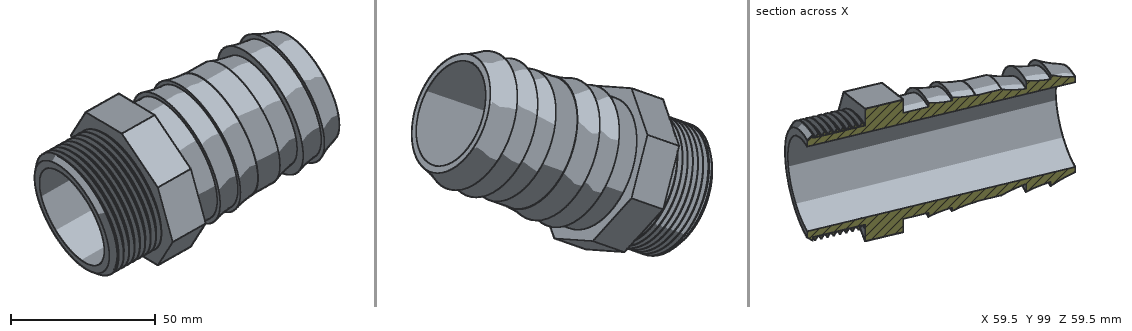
import cadquery as cq
import math

total_length = 99.0
bore_diameter = 37.8
body_diameter = 47.8

collar_sides = 8
collar_across_corners = 59.5
collar_start = 21.4
collar_end = 35.5

thread_core_diameter = 44.7
thread_span_turns = 7
thread_span = 16.1
thread_pitch = thread_span / thread_span_turns
thread_crest_start = 2.4
crest_flat = 0.2
root_flat = 0.2
nose_diameter = 43.8
nose_length = 2.1

lower_barb_start = 44.7
upper_barb_start = 71.7
lower_barb_length = 8.7
upper_barb_length = 9.1
lower_barb_diameter = 51.3
lower_barb_neck = 48.2
upper_barb_diameter = 50.1
middle_barb_neck = 46.3
tip_neck = 43.5
waist_neck = 43.0
barb_sag = 0.3
tip_chamfer_length = 0.8
tip_diameter = 42.9

barbs = [
    (lower_barb_start, lower_barb_length, lower_barb_diameter, lower_barb_neck),
    (lower_barb_start + lower_barb_length, lower_barb_length, lower_barb_diameter, lower_barb_neck),
    (upper_barb_start, upper_barb_length, body_diameter, waist_neck),
    (upper_barb_start + upper_barb_length, upper_barb_length, upper_barb_diameter, middle_barb_neck),
]
tip_barb_start = upper_barb_start + 2 * upper_barb_length
tip_barb_end = total_length - tip_chamfer_length
barbs.append((tip_barb_start, tip_barb_end - tip_barb_start, upper_barb_diameter, tip_neck))


def revolve_about_axis(profile):
    """Close the half section and turn it a full revolution about the Y axis."""
    return profile.close().revolve(360, (0, 0, 0), (0, 1, 0))


def add_barb(profile, start, length, large_diameter, neck_diameter):
    """Step out to the barb edge, then follow its slightly hollow flank to the neck."""
    large_radius = large_diameter / 2
    neck_radius = neck_diameter / 2
    middle = ((large_radius + neck_radius) / 2 - barb_sag, start + length / 2)
    profile = profile.lineTo(large_radius, start)
    return profile.threePointArc(middle, (neck_radius, start + length))


def make_fitting():
    """Nose, thread core, collar and barbed hose tail around one through bore."""
    body_radius = body_diameter / 2
    core_radius = thread_core_diameter / 2
    profile = (
        cq.Workplane("XY")
        .moveTo(bore_diameter / 2, 0)
        .lineTo(nose_diameter / 2, 0)
        .lineTo(body_radius, nose_length)
        .lineTo(core_radius, nose_length)
        .lineTo(core_radius, collar_start)
        .lineTo(body_radius, collar_start)
        .lineTo(body_radius, lower_barb_start)
    )
    for barb in barbs:
        if barb[0] == upper_barb_start:
            profile = profile.lineTo(body_radius, lower_barb_start + 2 * lower_barb_length)
        profile = add_barb(profile, *barb)
    profile = profile.lineTo(tip_diameter / 2, total_length)
    profile = profile.lineTo(bore_diameter / 2, total_length)
    return revolve_about_axis(profile).union(make_collar())


def make_collar():
    """Octagon with corners on the X and Z axes, bored through."""
    return (
        cq.Workplane("XZ", origin=(0, collar_end, 0))
        .polygon(collar_sides, collar_across_corners)
        .circle(bore_diameter / 2)
        .extrude(collar_end - collar_start)
    )


def make_thread():
    """Right-hand helical ridge seated on the core, cut off flat at the nose and at the collar."""
    crest_radius = body_diameter / 2
    core_radius = thread_core_diameter / 2
    half_base = (thread_pitch - root_flat) / 2
    half_crest = crest_flat / 2
    section = [
        (core_radius, -half_base),
        (crest_radius, -half_crest),
        (crest_radius, half_crest),
        (core_radius, half_base),
    ]
    sweep_start = thread_crest_start - thread_pitch
    turns = math.ceil((collar_start - sweep_start) / thread_pitch) + 1
    sweep_length = turns * thread_pitch
    helices = [
        cq.Wire.makeHelix(thread_pitch, sweep_length, radius, center=cq.Vector(0, 0, offset)).Edges()[0]
        for radius, offset in section
    ]
    faces = []
    for index, helix in enumerate(helices):
        next_helix = helices[(index + 1) % len(helices)]
        faces.append(cq.Face.makeRuledSurface(helix, next_helix))
    for end_height in (0, sweep_length):
        corners = [cq.Vector(radius, 0, offset + end_height) for radius, offset in section]
        faces.append(cq.Face.makeFromWires(cq.Wire.makePolygon(corners, close=True)))
    ridge = cq.Workplane(obj=cq.Solid.makeSolid(cq.Shell.makeShell(faces)))
    ridge = ridge.rotate((0, 0, 0), (1, 0, 0), -90).translate((0, sweep_start, 0))

    slab_width = 2 * body_diameter
    slab = (
        cq.Workplane("XZ", origin=(0, collar_start, 0))
        .rect(slab_width, slab_width)
        .extrude(collar_start - nose_length)
    )
    return ridge.intersect(slab)


fitting = make_fitting()
thread = make_thread()
result = cq.Compound.makeCompound([fitting.solids().val(), thread.solids().val()])